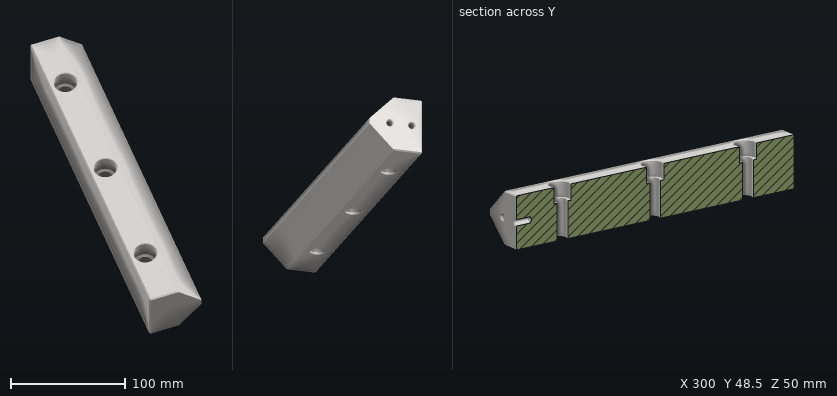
import cadquery as cq
import math

length = 300.0
width = 48.5
height = 50.0
nose_height = 5.0
slope_run = (height - nose_height) / 2
edge_chamfer = 1.15

screw_count = 3
screw_pitch = length / screw_count
screw_from_front = 14.5
screw_diameter = 14.0
head_diameter = 20.0
head_depth = 15.0
head_chamfer = 0.75

pin_from_front = (10.0, 30.0)
pin_diameter = 5.5
pin_depth = 15.0
pin_chamfer = 1.0
drill_point_angle = 118.0

front_y = -width / 2
back_y = width / 2
shoulder_y = back_y - slope_run
top_z = height / 2


def make_bar():
    """Five-sided bar with the edges of its top, bottom and front faces chamfered."""
    section = [
        (front_y, -top_z),
        (shoulder_y, -top_z),
        (back_y, -nose_height / 2),
        (back_y, nose_height / 2),
        (shoulder_y, top_z),
        (front_y, top_z),
    ]
    bar = cq.Workplane("YZ").polyline(section).close().extrude(length / 2, both=True)
    front_edges = bar.faces("<Y").edges()
    end_edges = bar.faces(">Z or <Z").edges("|Y")
    return bar.newObject(front_edges.vals() + end_edges.vals()).chamfer(edge_chamfer)


def make_screw_hole(x):
    """Cutter for one screw hole, turned about its vertical axis."""
    screw_radius = screw_diameter / 2
    head_radius = head_diameter / 2
    half_profile = [
        (0, -top_z),
        (screw_radius, -top_z),
        (screw_radius, top_z - head_depth),
        (head_radius, top_z - head_depth),
        (head_radius, top_z - head_chamfer),
        (head_radius + head_chamfer, top_z),
        (0, top_z),
    ]
    cutter = cq.Workplane("XZ").polyline(half_profile).close().revolve(360, (0, 0), (0, 1))
    return cutter.translate((x, front_y + screw_from_front, 0))


def make_pin_hole(y):
    """Cutter for one blind hole entering the -X end, with a drill-point bottom."""
    radius = pin_diameter / 2
    end_x = -length / 2
    point_length = radius / math.tan(math.radians(drill_point_angle / 2))
    half_profile = [
        (end_x, 0),
        (end_x, radius + pin_chamfer),
        (end_x + pin_chamfer, radius),
        (end_x + pin_depth, radius),
        (end_x + pin_depth + point_length, 0),
    ]
    cutter = cq.Workplane("XY").polyline(half_profile).close().revolve(360, (0, 0), (1, 0))
    return cutter.translate((0, y, 0))


result = make_bar()

for index in range(screw_count):
    screw_x = (index - (screw_count - 1) / 2) * screw_pitch
    result = result.cut(make_screw_hole(screw_x))

for distance in pin_from_front:
    result = result.cut(make_pin_hole(front_y + distance))